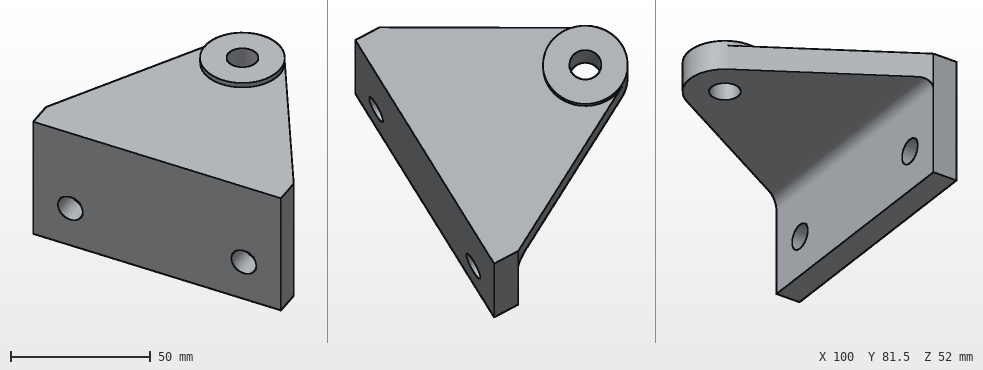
import cadquery as cq
import math

width = 100.0
plate_height = 50.0
thickness = 10.0
mount_hole_diameter = 10.0
mount_hole_spacing = 70.0
mount_hole_height = 16.5

overall_depth = 81.5
eye_radius = 15.2
eye_bore_diameter = 11.4
pad_height = 2.0
bend_radius = 5.0

half_width = width / 2
eye_y = overall_depth - eye_radius
shelf_bottom = plate_height - thickness

side_run = eye_y - thickness
corner_distance = math.hypot(half_width, side_run)
tangent_angle = math.acos(eye_radius / corner_distance) - math.atan2(side_run, half_width)
tangent_x = eye_radius * math.cos(tangent_angle)
tangent_y = eye_y + eye_radius * math.sin(tangent_angle)


def outline_prism():
    """Full-height prism of the outline seen from above."""
    return (
        cq.Workplane("XY")
        .moveTo(-half_width, 0)
        .lineTo(half_width, 0)
        .lineTo(half_width, thickness)
        .lineTo(tangent_x, tangent_y)
        .threePointArc((0, overall_depth), (-tangent_x, tangent_y))
        .lineTo(-half_width, thickness)
        .close()
        .extrude(plate_height)
    )


def bracket_section():
    """L-shaped section with a filleted inner corner, across the whole width."""
    return (
        cq.Workplane("YZ")
        .moveTo(0, 0)
        .lineTo(thickness, 0)
        .lineTo(thickness, shelf_bottom - bend_radius)
        .radiusArc((thickness + bend_radius, shelf_bottom), bend_radius)
        .lineTo(overall_depth, shelf_bottom)
        .lineTo(overall_depth, plate_height)
        .lineTo(0, plate_height)
        .close()
        .extrude(half_width, both=True)
    )


body = bracket_section().intersect(outline_prism())

pad = (
    cq.Workplane("XY", origin=(0, eye_y, shelf_bottom))
    .circle(eye_radius)
    .extrude(thickness + pad_height)
)

bore = (
    cq.Workplane("XY", origin=(0, eye_y, shelf_bottom))
    .circle(eye_bore_diameter / 2)
    .extrude(thickness + pad_height)
)

mount_holes = (
    cq.Workplane("XZ", origin=(0, 0, mount_hole_height))
    .pushPoints([(-mount_hole_spacing / 2, 0), (mount_hole_spacing / 2, 0)])
    .circle(mount_hole_diameter / 2)
    .extrude(-thickness)
)

result = body.union(pad).cut(bore).cut(mount_holes)